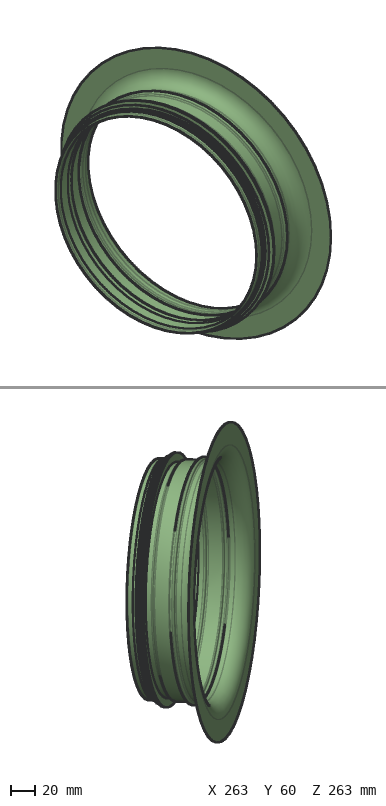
import cadquery as cq
import math


SHEET = 0.5
LENGTH = 60.0
FLANGE_RADIUS = 263 / 2
TUBE_RADIUS = 199.0 / 2
FLARE_RADIUS = 13.1

BEAD_RADIUS = 204.3 / 2
BEAD_CENTER = 21.0
BEAD_HALF_WIDTH = 3.2
BEAD_ROOT_SHARE = 0.3

SEAT_RADIUS = 194.0 / 2
STEP_START = 36.0
STEP_LENGTH = 3.5
STEP_SHARE = 0.5

HEM_START = 54.5
HEM_FOLD_RADIUS = (TUBE_RADIUS - SEAT_RADIUS + SHEET) / 2
HEM_FOLD_CENTER = (TUBE_RADIUS - HEM_FOLD_RADIUS, HEM_FOLD_RADIUS - LENGTH)

SEAL_RADIUS = 198.0 / 2
SEAL_START = 44.0
SEAL_LIPS = [
    (SEAL_START, 1.5, 209.3 / 2),
    (48.5, 0.8, 204.8 / 2),
    (51.0, 0.8, 200.4 / 2),
]


def arc_to(profile, center, radius, start_angle, end_angle):
    """Add an arc about center, running between two angles in degrees."""
    def point(angle):
        turn = math.radians(angle)
        return (center[0] + radius * math.cos(turn), center[1] + radius * math.sin(turn))

    return profile.threePointArc(point((start_angle + end_angle) / 2), point(end_angle))


def s_bend(profile, start, end, first_share, inset):
    """Pass from start to end through two tangent arcs, both ends parallel to the axis.

    start and end are (outer radius, distance) on the outer skin. inset moves the curve inward
    on the same arc centers, so that the sheet keeps its thickness through the bend.
    """
    rise = end[0] - start[0]
    run = end[1] - start[1]
    side = math.copysign(1, rise)
    sweep = math.degrees(2 * math.atan(abs(rise) / run))
    radius_sum = run / math.sin(math.radians(sweep))
    first_radius = first_share * radius_sum
    second_radius = radius_sum - first_radius
    first_center = (start[0] + side * first_radius, -start[1])
    second_center = (end[0] - side * second_radius, -end[1])

    first_angle = 180 if rise > 0 else 0
    second_angle = 180 - first_angle
    profile = arc_to(profile, first_center, first_radius + side * inset,
                     first_angle, first_angle + side * sweep)
    return arc_to(profile, second_center, second_radius - side * inset,
                  second_angle + side * sweep, second_angle)


def turned(profile):
    return profile.close().revolve(360, (0, 0, 0), (0, 1, 0))


def collar_body(inset):
    """Solid bounded by the collar's outer skin, from flange to hem fold, moved inward by inset."""
    flare_center = (TUBE_RADIUS + FLARE_RADIUS, -(SHEET + FLARE_RADIUS))
    flare_back = inset - SHEET
    bead_start = BEAD_CENTER - BEAD_HALF_WIDTH
    bead_end = BEAD_CENTER + BEAD_HALF_WIDTH

    profile = cq.Workplane("XY").moveTo(0, 0)
    if flare_back < 0:
        profile = profile.lineTo(FLANGE_RADIUS, 0).lineTo(FLANGE_RADIUS, flare_back)
    profile = profile.lineTo(flare_center[0], flare_back)
    profile = arc_to(profile, flare_center, FLARE_RADIUS + inset, 90, 180)

    bead_top = (BEAD_RADIUS, BEAD_CENTER)
    profile = profile.lineTo(TUBE_RADIUS - inset, -bead_start)
    profile = s_bend(profile, (TUBE_RADIUS, bead_start), bead_top, BEAD_ROOT_SHARE, inset)
    profile = s_bend(profile, bead_top, (TUBE_RADIUS, bead_end), 1 - BEAD_ROOT_SHARE, inset)

    profile = profile.lineTo(TUBE_RADIUS - inset, -STEP_START)
    profile = s_bend(profile, (TUBE_RADIUS, STEP_START),
                     (SEAT_RADIUS, STEP_START + STEP_LENGTH), STEP_SHARE, inset)

    fold_start = HEM_FOLD_CENTER[1]
    return turned(profile.lineTo(SEAT_RADIUS - inset, fold_start).lineTo(0, fold_start))


def hem():
    """Half-round fold and the outer leg that runs back toward the seal."""
    inner_fold_radius = HEM_FOLD_RADIUS - SHEET
    profile = cq.Workplane("XY").moveTo(SEAT_RADIUS - SHEET, HEM_FOLD_CENTER[1])
    profile = arc_to(profile, HEM_FOLD_CENTER, HEM_FOLD_RADIUS, -180, 0)
    profile = profile.lineTo(TUBE_RADIUS, -HEM_START).lineTo(TUBE_RADIUS - SHEET, -HEM_START)
    profile = profile.lineTo(TUBE_RADIUS - SHEET, HEM_FOLD_CENTER[1])
    return turned(arc_to(profile, HEM_FOLD_CENTER, inner_fold_radius, 0, -180))


def disc(start, thickness, radius):
    """Disc whose near face is at distance start from the flange back."""
    return cq.Workplane("XZ", origin=(0, -start, 0)).circle(radius).extrude(thickness)


def make_collar():
    return collar_body(0).cut(collar_body(SHEET)).union(hem())


def make_seal():
    seal = disc(SEAL_START, HEM_START - SEAL_START, SEAL_RADIUS)
    for start, thickness, radius in SEAL_LIPS:
        seal = seal.union(disc(start, thickness, radius))
    seat = disc(SEAL_START, HEM_START - SEAL_START, SEAT_RADIUS)
    return seal.cut(seat)


collar = make_collar()
seal = make_seal()

result = cq.Compound.makeCompound([*collar.solids().vals(), *seal.solids().vals()])